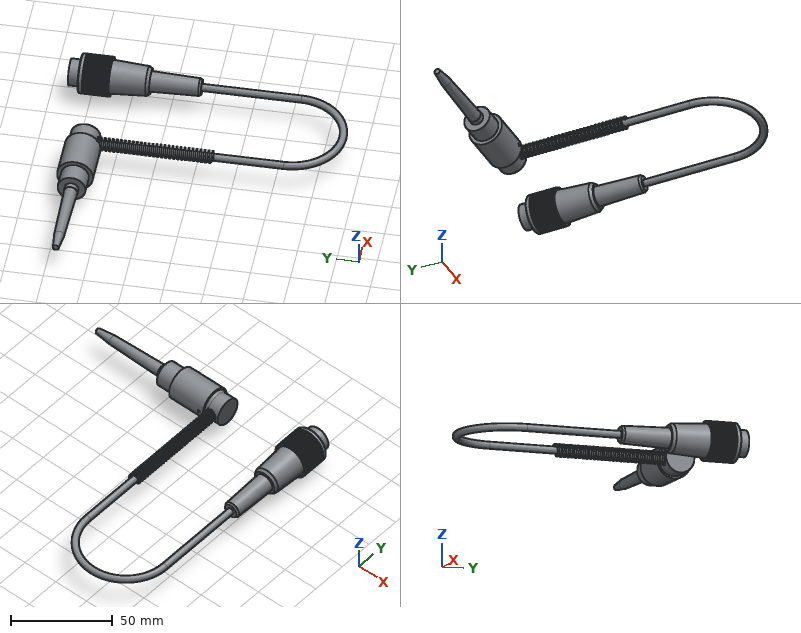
import cadquery as cq
import math


TIP_X = -80.2
TIP_STEP_X = -70.2
TIP_CONE_END_X = -38.0
COLLAR_X = -35.2
BARREL_X = -25.5
CAP_X = -3.5
CAP_NECK_END_X = -2.0
CAP_END_X = 4.8

TIP_END_DIAMETER = 3.0
TIP_STEP_DIAMETER = 5.1
TIP_CONE_DIAMETER = 6.7
TIP_SHANK_DIAMETER = 7.0
TIP_DOME_HEIGHT = 0.4
COLLAR_DIAMETER = 14.0
BARREL_DIAMETER = 18.0
CAP_DIAMETER = 15.0
CAP_NECK_DIAMETER = 16.0

SCREW_HOLE_DIAMETER = 1.4
SCREW_HOLE_DEPTH = 1.4
SCREW_HOLE_X = -6.3

SPRING_DIAMETER = 6.4
SPRING_WIRE_DIAMETER = 0.9
SPRING_PITCH = 2.0
SPRING_START_Y = -4.5
SPRING_END_Y = -65.3
SPRING_POCKET_DIAMETER = 6.7

PLUG_END_Y = 15.8
RING_Y = 10.5
RING_CHAMFER = 0.4
KNURL_START_Y = 8.3
PLAIN_BAND_Y = 6.0
PLAIN_BAND_WIDTH = 0.4
RING_END_Y = -5.0
SLEEVE_TAPER_END_Y = -23.0
SLEEVE_END_Y = -24.7
BOOT_TAPER_END_Y = -48.9
BOOT_END_Y = -50.0

PLUG_DIAMETER = 13.5
RING_DIAMETER = 20.0
SLEEVE_DIAMETER = 17.1
SLEEVE_TAPER_DIAMETER = 15.0
SLEEVE_END_DIAMETER = 12.8
BOOT_DIAMETER = 10.4
BOOT_TAPER_DIAMETER = 9.0
BOOT_END_DIAMETER = 7.5
KNURL_TEETH = 120
KNURL_DEPTH = 0.4

OVERALL_LENGTH = 142.6
CABLE_DIAMETER = 3.7
CABLE_SPAN = 50.0
CONNECTOR_X = CABLE_SPAN
CABLE_BEND_RADIUS = CABLE_SPAN / 2
CABLE_BEND_Y = PLUG_END_Y - OVERALL_LENGTH + CABLE_BEND_RADIUS + CABLE_DIAMETER / 2


def make_tip():
    """Two-stage tapered probe with a short cylindrical shank and a domed end."""
    end_radius = TIP_END_DIAMETER / 2
    dome_radius = (end_radius**2 + TIP_DOME_HEIGHT**2) / (2 * TIP_DOME_HEIGHT)
    half_angle = math.asin(end_radius / dome_radius) / 2
    dome_middle = (
        TIP_X + dome_radius * (1 - math.cos(half_angle)),
        dome_radius * math.sin(half_angle),
    )
    profile = (
        cq.Workplane("XY")
        .moveTo(TIP_X, 0)
        .threePointArc(dome_middle, (TIP_X + TIP_DOME_HEIGHT, end_radius))
        .lineTo(TIP_STEP_X, TIP_STEP_DIAMETER / 2)
        .lineTo(TIP_CONE_END_X, TIP_CONE_DIAMETER / 2)
        .lineTo(TIP_CONE_END_X, TIP_SHANK_DIAMETER / 2)
        .lineTo(COLLAR_X, TIP_SHANK_DIAMETER / 2)
        .lineTo(COLLAR_X, 0)
        .close()
    )
    return profile.revolve(360, (0, 0), (1, 0))


def make_handle():
    """Collar and barrel with a small blind screw hole on the -Y side."""
    collar = cq.Workplane("YZ", origin=(COLLAR_X, 0, 0)).circle(COLLAR_DIAMETER / 2)
    barrel = cq.Workplane("YZ", origin=(BARREL_X, 0, 0)).circle(BARREL_DIAMETER / 2)
    handle = collar.extrude(BARREL_X - COLLAR_X).union(barrel.extrude(CAP_X - BARREL_X))
    screw_hole = (
        cq.Workplane("XZ", origin=(SCREW_HOLE_X, SCREW_HOLE_DEPTH - BARREL_DIAMETER / 2, 0))
        .circle(SCREW_HOLE_DIAMETER / 2)
        .extrude(2 * SCREW_HOLE_DEPTH)
    )
    return handle.cut(screw_hole)


def make_cap():
    """End cap with a conical neck and a pocket that seats the spring and the cable."""
    profile = (
        cq.Workplane("XY")
        .moveTo(CAP_X, 0)
        .lineTo(CAP_X, CAP_NECK_DIAMETER / 2)
        .lineTo(CAP_NECK_END_X, CAP_DIAMETER / 2)
        .lineTo(CAP_END_X, CAP_DIAMETER / 2)
        .lineTo(CAP_END_X, 0)
        .close()
    )
    cap = profile.revolve(360, (0, 0), (1, 0))
    pocket = (
        cq.Workplane("XZ", origin=(0, SPRING_START_Y, 0))
        .circle(SPRING_POCKET_DIAMETER / 2)
        .extrude(CAP_NECK_DIAMETER)
    )
    return cap.cut(pocket)


def make_spring():
    """Round-wire helical spring whose coils clear the cable inside it."""
    half_wire = SPRING_WIRE_DIAMETER / 2
    coil_radius = SPRING_DIAMETER / 2 - half_wire
    first_coil_y = SPRING_START_Y - half_wire
    coil_length = first_coil_y - (SPRING_END_Y + half_wire)
    helix = cq.Wire.makeHelix(SPRING_PITCH, coil_length, coil_radius)
    coil = (
        cq.Workplane("XZ", origin=(coil_radius, 0, 0))
        .circle(half_wire)
        .sweep(cq.Workplane(obj=helix), isFrenet=True)
    )
    coil = coil.rotate((0, 0, 0), (0, 0, 1), 180)
    return coil.rotate((0, 0, 0), (1, 0, 0), 90).translate((0, first_coil_y, 0))


def make_cable():
    """Round cable running from the cap through a half-circle bend to the connector."""
    path = (
        cq.Workplane("XY")
        .moveTo(0, SPRING_START_Y)
        .lineTo(0, CABLE_BEND_Y)
        .threePointArc(
            (CABLE_BEND_RADIUS, CABLE_BEND_Y - CABLE_BEND_RADIUS),
            (CONNECTOR_X, CABLE_BEND_Y),
        )
        .lineTo(CONNECTOR_X, BOOT_END_Y)
    )
    section = cq.Workplane("XZ", origin=(0, SPRING_START_Y, 0)).circle(CABLE_DIAMETER / 2)
    return section.sweep(path)


def knurl_band(start_y, end_y):
    """Straight-knurled band of the coupling ring, running from start_y down to end_y."""
    crest = RING_DIAMETER / 2
    root = crest - KNURL_DEPTH
    points = []
    for i in range(2 * KNURL_TEETH):
        radius = root if i % 2 else crest
        angle = math.pi * i / KNURL_TEETH
        points.append((radius * math.cos(angle), radius * math.sin(angle)))
    return (
        cq.Workplane("XZ", origin=(CONNECTOR_X, start_y, 0))
        .polyline(points)
        .close()
        .extrude(start_y - end_y)
    )


def make_connector():
    """Plug, knurled coupling ring, tapered sleeve and tapered cable boot."""
    ring_radius = RING_DIAMETER / 2
    outline = [
        (0, PLUG_END_Y),
        (PLUG_DIAMETER / 2, PLUG_END_Y),
        (PLUG_DIAMETER / 2, RING_Y),
        (ring_radius - RING_CHAMFER, RING_Y),
        (ring_radius, RING_Y - RING_CHAMFER),
        (ring_radius, KNURL_START_Y),
        (ring_radius - KNURL_DEPTH, KNURL_START_Y),
        (ring_radius - KNURL_DEPTH, RING_END_Y),
        (SLEEVE_DIAMETER / 2, RING_END_Y),
        (SLEEVE_TAPER_DIAMETER / 2, SLEEVE_TAPER_END_Y),
        (SLEEVE_END_DIAMETER / 2, SLEEVE_END_Y),
        (BOOT_DIAMETER / 2, SLEEVE_END_Y),
        (BOOT_TAPER_DIAMETER / 2, BOOT_TAPER_END_Y),
        (BOOT_END_DIAMETER / 2, BOOT_END_Y),
        (0, BOOT_END_Y),
    ]
    turned = (
        cq.Workplane("XY", origin=(CONNECTOR_X, 0, 0))
        .polyline(outline)
        .close()
        .revolve(360, (0, 0), (0, 1))
    )
    front_knurl = knurl_band(KNURL_START_Y, PLAIN_BAND_Y)
    rear_knurl = knurl_band(PLAIN_BAND_Y - PLAIN_BAND_WIDTH, RING_END_Y)
    plain_band = (
        cq.Workplane("XZ", origin=(CONNECTOR_X, PLAIN_BAND_Y, 0))
        .circle(ring_radius)
        .extrude(PLAIN_BAND_WIDTH)
    )
    return turned.union(front_knurl).union(plain_band).union(rear_knurl)


tip = make_tip()
handle = make_handle()
cap = make_cap()
spring = make_spring()
cable = make_cable()
connector = make_connector()

result = cq.Compound.makeCompound(
    [tip.val(), handle.val(), cap.val(), spring.val(), cable.val(), connector.val()]
)